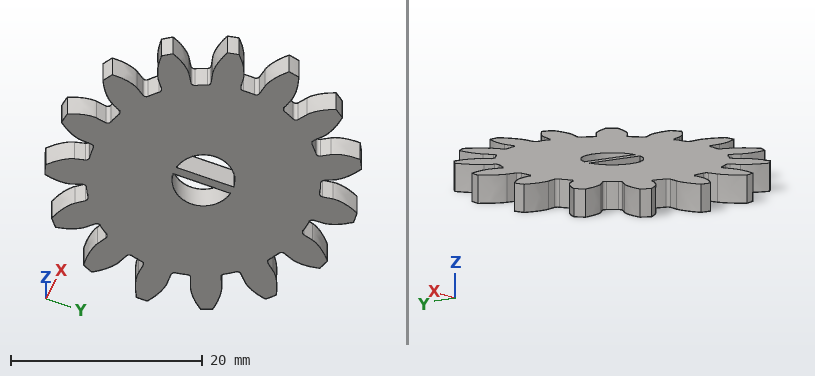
import cadquery as cq
import math

tooth_count = 15
first_tooth_angle = 180
thickness = 3.0
tip_radius = 16.57
base_radius = 13.73
root_radius = 12.25
tip_half_width = 0.63
foot_half_width = 1.5
root_fillet = 0.4
bore_radius = 3.27
bar_width = 0.9
flank_steps = 6

tooth_pitch_angle = 360 / tooth_count
tooth_foot_x = root_radius - foot_half_width
tip_roll_angle = math.sqrt((tip_radius / base_radius) ** 2 - 1)
tip_involute_angle = tip_roll_angle - math.atan(tip_roll_angle)
base_half_angle = math.asin(tip_half_width / tip_radius) + tip_involute_angle


def flank_point(roll_angle, side):
    """Point on an involute flank of a tooth along +X; side is +1 (upper) or -1 (lower)."""
    radius = base_radius * math.sqrt(1 + roll_angle**2)
    half_angle = base_half_angle - (roll_angle - math.atan(roll_angle))
    return (radius * math.cos(half_angle), side * radius * math.sin(half_angle))


def make_tooth():
    """Tooth along +X: straight lower flanks, involute upper flanks and a tip on the outer circle."""
    rolls = [tip_roll_angle * step / flank_steps for step in range(flank_steps + 1)]
    lower_flank = [flank_point(roll, -1) for roll in rolls]
    upper_flank = [flank_point(roll, 1) for roll in reversed(rolls)]
    return (
        cq.Workplane("XY")
        .moveTo(tooth_foot_x, -foot_half_width)
        .lineTo(*lower_flank[0])
        .spline(lower_flank[1:], includeCurrent=True)
        .threePointArc((tip_radius, 0), upper_flank[0])
        .spline(upper_flank[1:], includeCurrent=True)
        .lineTo(tooth_foot_x, foot_half_width)
        .close()
        .extrude(thickness)
    )


def is_root_corner(edge):
    """True for the upright edges where the tooth flanks meet the root circle."""
    center = edge.Center()
    return abs(math.hypot(center.x, center.y) - root_radius) < root_fillet


def make_gear():
    """Root disc with all teeth joined on and the root corners rounded."""
    gear = cq.Workplane("XY").circle(root_radius).extrude(thickness)
    tooth = make_tooth()
    for index in range(tooth_count):
        angle = first_tooth_angle + index * tooth_pitch_angle
        gear = gear.union(tooth.rotate((0, 0, 0), (0, 0, 1), angle))
    return gear.edges("|Z").filter(is_root_corner).fillet(root_fillet)


def make_bore():
    """Through bore divided into two half-moon openings by a bar along Y."""
    bar = cq.Workplane("XY").rect(bar_width, 2 * bore_radius).extrude(thickness)
    return cq.Workplane("XY").circle(bore_radius).extrude(thickness).cut(bar)


result = make_gear().cut(make_bore())